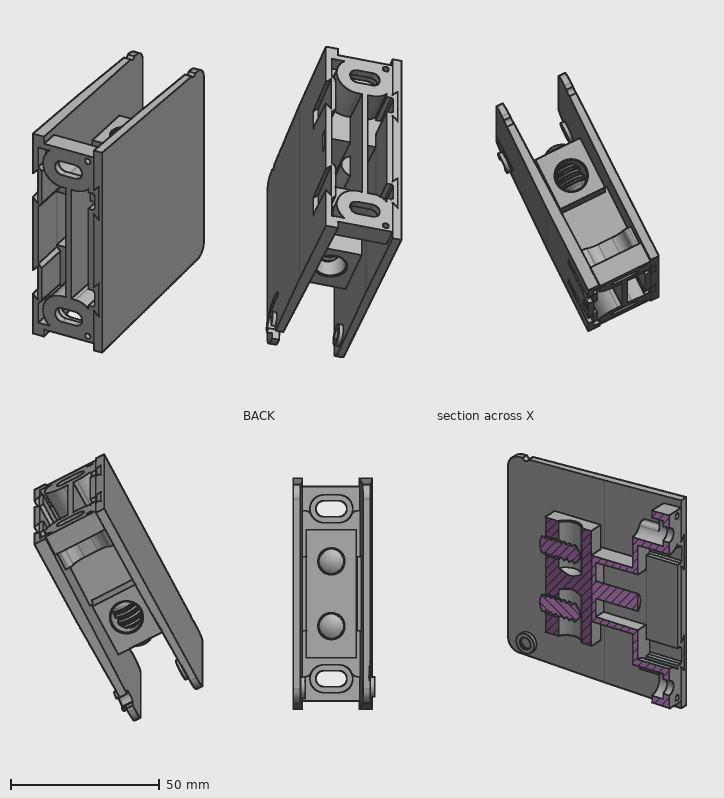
import cadquery as cq
import math


WALL_HEIGHT = 71.4
WALL_HALF_LENGTH = 39.05
BLOCK_WIDTH = 26.6
WALL_THICKNESS = 4.3
PLATE_THICKNESS = 3.1
DRAFT_START = 31.55
MOULD_DRAFT = 1.0
FACE_DRAFT = math.tan(math.radians(MOULD_DRAFT))
WALL_LEAN = (WALL_HEIGHT - DRAFT_START) * FACE_DRAFT
END_DRAFT = math.tan(math.radians(2 * MOULD_DRAFT))
CORNER_RADIUS = 4.7
DETENT_Y = 64.05
DETENT_RADIUS = 1.3
DETENT_DEPTH = 0.85
MATE_X = BLOCK_WIDTH - PLATE_THICKNESS
WALL_TOP_HALF_LENGTH = WALL_HALF_LENGTH - WALL_HEIGHT * END_DRAFT

HINGE_Y = 63.2
HINGE_Z = -31.7
HINGE_RADIUS = 3.7
HINGE_HOLE_RADIUS = 2.2
HINGE_HEIGHT = 0.9
HINGE_SLOT_NECK = 3.3
HINGE_SLOT_MOUTH = 5.0
ARC_INNER_RADIUS = 8.6
ARC_OUTER_RADIUS = 10.7
ARC_END_ANGLE = 25.0
ARC_DEPTH = 0.8
ARC_LIP_WIDTH = 0.3
ARC_RAMP_LENGTH = 0.6
ARC_LIP_DROP = 0.3

CENTRE_X = 13.75
FLOOR_HEIGHT = 7.2
FLOOR_HALF_LENGTH = 36.3
SHOULDER_HEIGHT = 15.1
SHOULDER_HALF_LENGTH = 28.0
PEDESTAL_HEIGHT = 33.35
PEDESTAL_HALF_LENGTH = 12.5

SLOT_Z = 28.7
SLOT_STRAIGHT = 5.1
SLOT_RADIUS = 2.65
SLOT_PLATE = 2.65
SLOT_POCKET_RADIUS = 4.7
SLOT_POCKET_FLARE = 2.2
SLOT_BOSS_RADIUS = 7.35
PIP_X = 21.1
PIP_Z = 34.1
PIP_RADIUS = 1.0
PIP_DEPTH = 3.1

SHELL = 2.1
HOLLOW_RIGHT = MATE_X - SHELL
HOLLOW_HALF_LENGTH = FLOOR_HALF_LENGTH - SHELL
HOLLOW_HEIGHT = SHOULDER_HEIGHT - SHELL
HOLLOW_MID_HALF_LENGTH = SHOULDER_HALF_LENGTH - SHELL
CORNER_HOLLOW_HEIGHT = FLOOR_HEIGHT - SHELL
CORE_HALF_LENGTH = PEDESTAL_HALF_LENGTH - SHELL
CORE_TOP = 30.1
RIB_WIDTH = 2.0
CORE_BOSS_RADIUS = 4.4

DOVETAIL_Z = 18.9
DOVETAIL_DEPTH = 1.9
DOVETAIL_FOOT_HALF = 4.6
DOVETAIL_TOP_HALF = 3.7
BACKING_DEPTH = 1.3
BACKING_HALF = 6.4
TONGUE_POCKET_HALF = 3.2
TONGUE_POCKET_X = 23.75
TONGUE_POCKET_CHAMFER = 0.6

SNAP_HALF_LENGTH = 3.5
SNAP_FOOT = 1.2
SNAP_FLOOR_END = 2.2
SNAP_TOP = 3.7
SNAP_DEPTH = 1.2

LUG_WIDTH = 16.9
LUG_BOTTOM = 31.95
LUG_TOP = 50.85
LUG_HALF_LENGTH = 21.6
LUG_CLEARANCE = 0.3
WIRE_Y = 40.6
WIRE_RADIUS = 5.7
WIRE_CHAMFER = 0.4
WIRE_DEPTH = 17.6
DRILL_POINT_ANGLE = 59.0

SCREW_Z = 10.9
SCREW_TIP_Y = 36.55
SCREW_TIP_RADIUS = 2.9
THREAD_START = 38.0
THREAD_TURNS = 6
THREAD_PITCH = (LUG_TOP - THREAD_START) / THREAD_TURNS
THREAD_FLAT = 0.27
THREAD_FLANK = THREAD_PITCH / 2 - THREAD_FLAT
THREAD_CREST = 4.5
THREAD_ROOT = 3.9
HEAD_RADIUS = 4.2
HEAD_EDGE_Y = 52.25
HEAD_TOP_Y = 53.8


def block(x0, x1, y0, y1, half_length):
    """A box centred on Z = 0."""
    size = (x1 - x0, y1 - y0, 2 * half_length)
    return cq.Workplane("XY").box(*size, centered=(False, False, True)).translate((x0, y0, 0))


def plan(y=0):
    """A workplane looking down at the mounting face: local coordinates are (Z, X), extruding goes to +Y."""
    return cq.Workplane(cq.Plane(origin=(0, y, 0), xDir=(0, 0, 1), normal=(0, 1, 0)))


def side(x=0):
    """A workplane along the walls: local coordinates are (Y, Z), extruding goes to +X."""
    return cq.Workplane("YZ", origin=(x, 0, 0))


def slot_prism(z, radius, y0, y1):
    """A prism with round ends whose straight length runs along X."""
    length = SLOT_STRAIGHT + 2 * radius
    return plan(y0).center(z, CENTRE_X).slot2D(length, 2 * radius, 90).extrude(y1 - y0)


def wall_outline():
    """The side profile shared by both walls, drafted at the ends and rounded at the top corners."""
    outline = (
        side()
        .polyline([
            (0, -WALL_HALF_LENGTH),
            (WALL_HEIGHT, -WALL_TOP_HALF_LENGTH),
            (WALL_HEIGHT, WALL_TOP_HALF_LENGTH),
            (0, WALL_HALF_LENGTH),
        ])
        .close()
        .extrude(BLOCK_WIDTH)
        .edges("|X and >Y")
        .fillet(CORNER_RADIUS)
    )
    detent_z = WALL_HALF_LENGTH - DETENT_Y * END_DRAFT - DETENT_DEPTH + DETENT_RADIUS
    detent = side().center(DETENT_Y, detent_z).circle(DETENT_RADIUS).extrude(BLOCK_WIDTH)
    return outline.cut(detent)


def wall(section):
    """A wall with the given (X, Y) cross-section, trimmed to the side profile."""
    bar = cq.Workplane("XY").polyline(section).close().extrude(WALL_HALF_LENGTH, both=True)
    return bar.intersect(wall_outline())


def dovetail(x, z):
    """A dovetail widening towards +X from a mouth in the plane at x, and narrowing upwards."""
    def section(mouth_half):
        root_half = mouth_half + DOVETAIL_DEPTH
        return [
            (z - mouth_half, x),
            (z + mouth_half, x),
            (z + root_half, x + DOVETAIL_DEPTH),
            (z - root_half, x + DOVETAIL_DEPTH),
        ]

    foot = plan().polyline(section(DOVETAIL_FOOT_HALF)).close()
    top = foot.workplane(offset=SHOULDER_HEIGHT).polyline(section(DOVETAIL_TOP_HALF)).close()
    return top.loft(ruled=True)


def hinge_cylinder(x0, x1, radius):
    return side(x0).center(HINGE_Y, HINGE_Z).circle(radius).extrude(x1 - x0)


def hinge_opening():
    """The keyhole through the left wall, flaring to the wall's lower end."""
    hole = hinge_cylinder(-HINGE_HEIGHT, WALL_THICKNESS, HINGE_HOLE_RADIUS)
    slot = (
        side(-HINGE_HEIGHT)
        .polyline([
            (HINGE_Y - HINGE_SLOT_NECK / 2, HINGE_Z),
            (HINGE_Y + HINGE_SLOT_NECK / 2, HINGE_Z),
            (HINGE_Y + HINGE_SLOT_MOUTH / 2, -WALL_HALF_LENGTH),
            (HINGE_Y - HINGE_SLOT_MOUTH / 2, -WALL_HALF_LENGTH),
        ])
        .close()
        .extrude(HINGE_HEIGHT + WALL_THICKNESS)
    )
    return hole.union(slot)


def hinge_arc_groove():
    """The curved guide groove around the hinge, with a ramp and a low lip at the wall's top edge."""
    ring_width = ARC_OUTER_RADIUS - ARC_INNER_RADIUS
    middle_radius = ARC_INNER_RADIUS + ring_width / 2
    angle = math.radians(ARC_END_ANGLE)
    end_y = HINGE_Y - middle_radius * math.sin(angle)
    end_z = HINGE_Z + middle_radius * math.cos(angle)

    reach = 2 * ARC_OUTER_RADIUS
    ring = hinge_cylinder(0, WALL_THICKNESS, ARC_OUTER_RADIUS).cut(
        hinge_cylinder(0, WALL_THICKNESS, ARC_INNER_RADIUS))
    sector = (
        side()
        .polyline([
            (HINGE_Y, HINGE_Z),
            (HINGE_Y - reach * math.sin(angle), HINGE_Z + reach * math.cos(angle)),
            (HINGE_Y + reach, HINGE_Z + reach),
            (HINGE_Y + reach, HINGE_Z),
        ])
        .close()
        .extrude(WALL_THICKNESS)
    )
    round_end = side().center(end_y, end_z).circle(ring_width / 2).extrude(WALL_THICKNESS)
    path = ring.intersect(sector).union(round_end)

    lip_y = WALL_HEIGHT - ARC_LIP_WIDTH
    ramp_foot_y = lip_y - ARC_RAMP_LENGTH
    depth_zone = (
        cq.Workplane("XY")
        .polyline([
            (0, DRAFT_START),
            (ARC_DEPTH, DRAFT_START),
            (WALL_LEAN + ARC_DEPTH, ramp_foot_y),
            (WALL_LEAN + ARC_LIP_DROP, lip_y),
            (WALL_LEAN + ARC_LIP_DROP, WALL_HEIGHT),
            (0, WALL_HEIGHT),
        ])
        .close()
        .extrude(WALL_HALF_LENGTH, both=True)
    )
    return path.intersect(depth_zone)


def left_wall():
    return wall([
        (0, 0),
        (WALL_THICKNESS, 0),
        (WALL_THICKNESS - WALL_HEIGHT * FACE_DRAFT, WALL_HEIGHT),
        (WALL_LEAN, WALL_HEIGHT),
        (0, DRAFT_START),
    ])


def base():
    """Floor with drafted ends, shoulders beside the mounting slots, and the pedestal under the lug."""
    floor_top_half = FLOOR_HALF_LENGTH - FLOOR_HEIGHT * END_DRAFT
    floor = (
        side(SHELL)
        .polyline([
            (0, -FLOOR_HALF_LENGTH),
            (FLOOR_HEIGHT, -floor_top_half),
            (FLOOR_HEIGHT, floor_top_half),
            (0, FLOOR_HALF_LENGTH),
        ])
        .close()
        .extrude(MATE_X - SHELL)
    )
    shoulders = block(SHELL, MATE_X, 0, SHOULDER_HEIGHT, SHOULDER_HALF_LENGTH)
    for z in (-SLOT_Z, SLOT_Z):
        shoulders = shoulders.cut(slot_prism(z, SLOT_POCKET_RADIUS, 0, SHOULDER_HEIGHT))
    between_corners = cq.selectors.BoxSelector(
        (WALL_THICKNESS, 0, -SLOT_Z),
        (HOLLOW_RIGHT, SHOULDER_HEIGHT, SLOT_Z),
    )
    pocket_rims = shoulders.faces("<Z or >Z").edges("|Y").edges(between_corners)
    shoulders = pocket_rims.fillet(SLOT_POCKET_FLARE)
    pedestal = block(SHELL, MATE_X, 0, PEDESTAL_HEIGHT, PEDESTAL_HALF_LENGTH)
    return floor.union(shoulders).union(pedestal)


def groove_backing(z):
    """The part of the shell that stays thick behind a dovetail groove."""
    return (
        plan()
        .polyline([
            (z - BACKING_HALF - BACKING_DEPTH, SHELL),
            (z - BACKING_HALF, SHELL + BACKING_DEPTH),
            (z + BACKING_HALF, SHELL + BACKING_DEPTH),
            (z + BACKING_HALF + BACKING_DEPTH, SHELL),
        ])
        .close()
        .extrude(HOLLOW_HEIGHT)
    )


def tongue_pocket(z):
    """The branch of the hollow that reaches into a dovetail tongue."""
    return (
        plan()
        .center(z, (CENTRE_X + TONGUE_POCKET_X) / 2)
        .rect(2 * TONGUE_POCKET_HALF, TONGUE_POCKET_X - CENTRE_X)
        .extrude(HOLLOW_HEIGHT)
        .edges("|Y and >X")
        .chamfer(TONGUE_POCKET_CHAMFER)
    )


def underside_hollow():
    corners = block(SHELL, CENTRE_X, 0, CORNER_HOLLOW_HEIGHT, HOLLOW_HALF_LENGTH)
    middle = block(SHELL, HOLLOW_RIGHT, 0, HOLLOW_HEIGHT, HOLLOW_MID_HALF_LENGTH)
    core = (
        plan(HOLLOW_HEIGHT)
        .center(0, (SHELL + HOLLOW_RIGHT) / 2)
        .rect(2 * CORE_HALF_LENGTH, HOLLOW_RIGHT - SHELL)
        .extrude(CORE_TOP - HOLLOW_HEIGHT, taper=MOULD_DRAFT)
    )
    hollow = corners.union(middle).union(core)
    for z in (-DOVETAIL_Z, DOVETAIL_Z):
        hollow = hollow.union(tongue_pocket(z)).cut(groove_backing(z))
    for z in (-SLOT_Z, SLOT_Z):
        hollow = hollow.cut(slot_prism(z, SLOT_BOSS_RADIUS, 0, SHOULDER_HEIGHT))
    rib = plan().center(0, CENTRE_X).rect(2 * SLOT_Z, RIB_WIDTH).extrude(CORE_TOP, taper=-MOULD_DRAFT)
    core_height = CORE_TOP - HOLLOW_HEIGHT
    boss = plan(HOLLOW_HEIGHT).center(0, CENTRE_X).circle(CORE_BOSS_RADIUS).extrude(core_height)
    return hollow.cut(rib).cut(boss)


def snap_recess():
    return (
        cq.Workplane("XY")
        .polyline([(0, SNAP_FOOT), (SNAP_DEPTH, SNAP_FOOT), (SNAP_DEPTH, SNAP_FLOOR_END), (0, SNAP_TOP)])
        .close()
        .extrude(SNAP_HALF_LENGTH, both=True)
    )


def lug_seat():
    left = CENTRE_X - LUG_WIDTH / 2 - LUG_CLEARANCE
    right = CENTRE_X + LUG_WIDTH / 2
    return block(left, right, LUG_BOTTOM, PEDESTAL_HEIGHT, LUG_HALF_LENGTH)


def make_housing():
    body = left_wall().union(base())
    body = body.union(hinge_cylinder(-HINGE_HEIGHT, WALL_THICKNESS / 2, HINGE_RADIUS))
    for z in (-DOVETAIL_Z, DOVETAIL_Z):
        body = body.union(dovetail(MATE_X, z)).cut(dovetail(0, z))
    body = body.cut(underside_hollow())
    for z in (-SLOT_Z, SLOT_Z):
        body = body.cut(slot_prism(z, SLOT_RADIUS, 0, SLOT_PLATE))
        body = body.cut(slot_prism(z, SLOT_POCKET_RADIUS, SLOT_PLATE, SHOULDER_HEIGHT))
    for z in (-PIP_Z, PIP_Z):
        body = body.cut(plan().center(z, PIP_X).circle(PIP_RADIUS).extrude(PIP_DEPTH))
    return body.cut(hinge_opening()).cut(hinge_arc_groove()).cut(snap_recess()).cut(lug_seat())


def make_end_plate():
    """The separate right wall, hung on the housing's dovetail tongues."""
    plate = wall([
        (MATE_X, 0),
        (BLOCK_WIDTH, 0),
        (BLOCK_WIDTH, WALL_HEIGHT),
        (MATE_X + WALL_LEAN, WALL_HEIGHT),
        (MATE_X, DRAFT_START),
    ])
    boss_tip_x = MATE_X - HINGE_HEIGHT
    plate = plate.union(hinge_cylinder(boss_tip_x, MATE_X + PLATE_THICKNESS / 2, HINGE_RADIUS))
    plate = plate.cut(hinge_cylinder(boss_tip_x, MATE_X, HINGE_HOLE_RADIUS))
    for z in (-DOVETAIL_Z, DOVETAIL_Z):
        plate = plate.cut(dovetail(MATE_X, z))
    return plate


def make_screw(z):
    """A terminal screw along Y, with ring-shaped threads, a cone tip and a domed head."""
    profile = (
        cq.Workplane("XY")
        .moveTo(0, SCREW_TIP_Y)
        .lineTo(SCREW_TIP_RADIUS, SCREW_TIP_Y)
        .lineTo(THREAD_ROOT, THREAD_START)
    )
    for turn in range(THREAD_TURNS):
        crest_y = THREAD_START + turn * THREAD_PITCH + THREAD_FLANK
        profile = (
            profile
            .lineTo(THREAD_CREST, crest_y)
            .lineTo(THREAD_CREST, crest_y + THREAD_FLAT)
            .lineTo(THREAD_ROOT, crest_y + THREAD_FLAT + THREAD_FLANK)
            .lineTo(THREAD_ROOT, crest_y + 2 * THREAD_FLAT + THREAD_FLANK)
        )
    head_height = HEAD_TOP_Y - HEAD_EDGE_Y
    dome_radius = (HEAD_RADIUS ** 2 + head_height ** 2) / (2 * head_height)
    half_angle = math.asin(HEAD_RADIUS / dome_radius) / 2
    dome_middle = (
        dome_radius * math.sin(half_angle),
        HEAD_TOP_Y - dome_radius * (1 - math.cos(half_angle)),
    )
    profile = (
        profile
        .lineTo(HEAD_RADIUS, LUG_TOP)
        .lineTo(HEAD_RADIUS, HEAD_EDGE_Y)
        .threePointArc(dome_middle, (0, HEAD_TOP_Y))
        .close()
    )
    return profile.revolve(360, (0, 0, 0), (0, 1, 0)).translate((CENTRE_X, 0, z))


def wire_hole():
    """The blind wire hole entering from +Z, with a chamfered mouth and a drill point."""
    bore_radius = WIRE_RADIUS - WIRE_CHAMFER
    point_length = bore_radius / math.tan(math.radians(DRILL_POINT_ANGLE))
    floor_z = LUG_HALF_LENGTH - WIRE_DEPTH
    return (
        cq.Workplane("XZ")
        .polyline([
            (0, LUG_HALF_LENGTH),
            (WIRE_RADIUS, LUG_HALF_LENGTH),
            (bore_radius, LUG_HALF_LENGTH - WIRE_CHAMFER),
            (bore_radius, floor_z),
            (0, floor_z - point_length),
        ])
        .close()
        .revolve(360, (0, 0, 0), (0, 1, 0))
        .translate((CENTRE_X, WIRE_Y, 0))
    )


def make_lug():
    half_width = LUG_WIDTH / 2
    lug = block(CENTRE_X - half_width, CENTRE_X + half_width, LUG_BOTTOM, LUG_TOP, LUG_HALF_LENGTH)
    lug = lug.cut(wire_hole()).cut(wire_hole().mirror("XY"))
    for z in (-SCREW_Z, SCREW_Z):
        tapped_hole = plan(WIRE_Y).center(z, CENTRE_X).circle(THREAD_CREST).extrude(LUG_TOP - WIRE_Y)
        lug = lug.cut(tapped_hole)
    return lug


housing = make_housing()
end_plate = make_end_plate()
lug = make_lug()
screws = [make_screw(z).val() for z in (-SCREW_Z, SCREW_Z)]

result = cq.Compound.makeCompound([housing.val(), end_plate.val(), lug.val(), *screws])